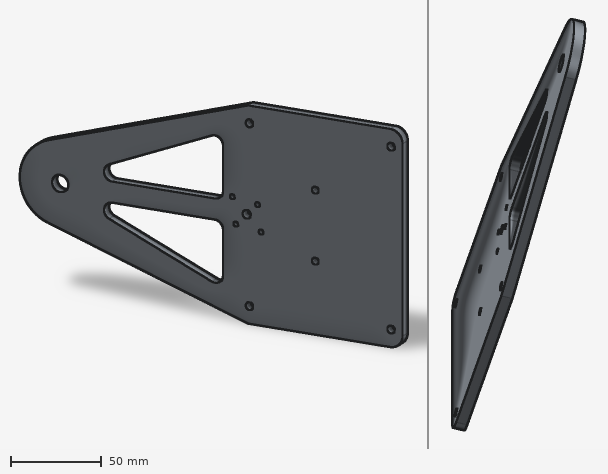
import cadquery as cq
import math

length = 237.2
height = 127.0
thickness = 6.5
nose_radius = 25.1
shoulder_x = 141.5
corner_radius = 7.5

web_thickness = 12.3
window_tip_x = 32.5
window_back_x = 126.0
window_top_z = 45.3
window_radius = 5.0

pivot_diameter = 10.0
corner_hole_diameter = 4.5
corner_hole_xs = (142.3, 230.0)
corner_hole_z = 53.1
pair_hole_diameter = 4.0
pair_hole_x = 183.0
pair_hole_z = 20.6
motor_x = 140.7
motor_shaft_diameter = 5.0
motor_screw_diameter = 2.8
motor_long_radius = 12.5
motor_short_radius = 9.5


def extrude(sketch):
    """Extrude an XZ sketch through the plate thickness toward +Y."""
    return sketch.extrude(-thickness)


def make_plate():
    """Rectangular plate tapering along tangents to a round nose."""
    half_height = height / 2
    run = shoulder_x - nose_radius
    shoulder_distance = math.hypot(run, half_height)
    tangent_angle = math.atan2(half_height, run) + math.acos(nose_radius / shoulder_distance)
    tangent_x = nose_radius + nose_radius * math.cos(tangent_angle)
    tangent_z = nose_radius * math.sin(tangent_angle)
    outline = (
        cq.Workplane("XZ")
        .moveTo(tangent_x, -tangent_z)
        .lineTo(shoulder_x, -half_height)
        .lineTo(length, -half_height)
        .lineTo(length, half_height)
        .lineTo(shoulder_x, half_height)
        .lineTo(tangent_x, tangent_z)
        .threePointArc((0, 0), (tangent_x, -tangent_z))
        .close()
    )
    return extrude(outline).edges("|Y and >X").fillet(corner_radius)


def make_window(side):
    """Rounded triangular window; side is +1 above the web, -1 below."""
    web_z = side * web_thickness / 2
    triangle = cq.Workplane("XZ").polyline([
        (window_tip_x, web_z),
        (window_back_x, web_z),
        (window_back_x, side * window_top_z),
    ]).close()
    return extrude(triangle).edges("|Y").fillet(window_radius)


def make_holes(diameter, centers):
    """Cylinders that cut through holes at the given (X, Z) centers."""
    return extrude(cq.Workplane("XZ").pushPoints(centers).circle(diameter / 2))


def motor_screw_centers():
    """Two perpendicular screw pairs on the diagonals around the shaft."""
    centers = []
    for index in range(4):
        angle = math.radians(45 + 90 * index)
        radius = motor_long_radius if index % 2 else motor_short_radius
        centers.append((motor_x + radius * math.cos(angle), radius * math.sin(angle)))
    return centers


result = make_plate()
for side in (1, -1):
    result = result.cut(make_window(side))

corner_centers = [(x, side * corner_hole_z) for x in corner_hole_xs for side in (1, -1)]
pair_centers = [(pair_hole_x, side * pair_hole_z) for side in (1, -1)]
hole_groups = [
    (pivot_diameter, [(nose_radius, 0)]),
    (corner_hole_diameter, corner_centers),
    (pair_hole_diameter, pair_centers),
    (motor_shaft_diameter, [(motor_x, 0)]),
    (motor_screw_diameter, motor_screw_centers()),
]
for diameter, centers in hole_groups:
    result = result.cut(make_holes(diameter, centers))